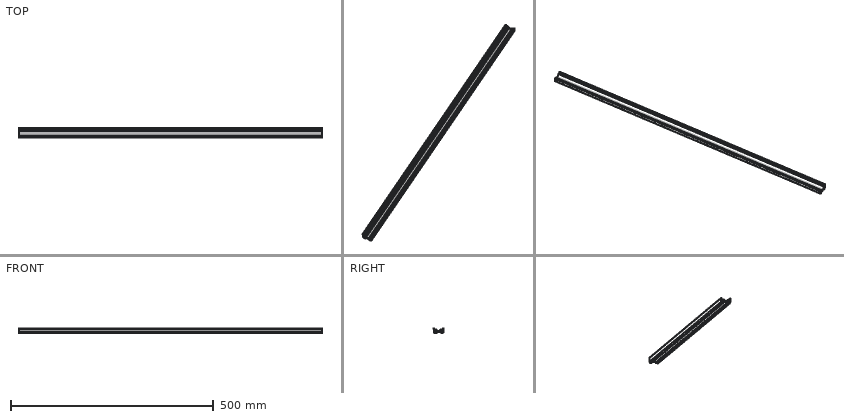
import cadquery as cq
import math

length = 750.0
width = 25.3
height = 13.3
half_width = width / 2

tip_angle = 15.0
front_tip_width = 2.1
rear_tip_width = 1.4
lip_overhang = 0.45
lip_bottom = 11.8
front_bevel_angle = 60.0
front_bevel_height = 4.3
rear_bevel_size = 3.0

trough_angle = 40.0
trough_y = -0.2
trough_apex = 4.75
trough_radius = 1.8
ledge_height = 10.45
leaf_thickness = 1.2

web_bottom = 3.3
front_foot_inner = 4.8
rear_foot_inner = 7.1

channel_inner = 4.1
channel_floor = 4.4
channel_flat_end = 7.4
channel_wall_start = 6.4

chamber_wall = 1.5
chamber_roof = 1.4
chamber_inner = 6.7
chamber_floor = 2.3
chamber_bevel_end = 9.8
chamber_bevel_top = 4.5


def slope(angle):
    return math.tan(math.radians(angle))


tip_slope = slope(tip_angle)
trough_slope = slope(trough_angle)
front_bevel_run = front_bevel_height / slope(front_bevel_angle)
front_wall = half_width - lip_overhang
front_tip = half_width - front_tip_width
rear_tip = half_width - rear_tip_width
trough_half_width = (ledge_height - trough_apex) / trough_slope


def section_outline():
    """Outer boundary of the section as (y, z) points."""
    leaf_drop = leaf_thickness / math.cos(math.radians(trough_angle))
    leaf_root_z = trough_apex + (channel_inner - trough_y) * trough_slope - leaf_drop
    channel_wall_y = rear_tip - (height - channel_wall_start) * tip_slope
    front_side = [
        (-front_foot_inner, web_bottom),
        (-front_foot_inner, 0),
        (-front_wall + front_bevel_run, 0),
        (-front_wall, front_bevel_height),
        (-front_wall, lip_bottom),
        (-half_width, lip_bottom),
        (-half_width, height - front_tip_width * tip_slope),
        (-front_tip, height),
        (-front_tip, ledge_height),
    ]
    trough = [
        (trough_y - trough_half_width, ledge_height),
        (trough_y, trough_apex),
        (trough_y + trough_half_width, ledge_height),
    ]
    rear_side = [
        (channel_inner, leaf_root_z),
        (channel_inner, channel_floor),
        (channel_flat_end, channel_floor),
        (channel_wall_y, channel_wall_start),
        (rear_tip, height),
        (half_width, height - rear_tip_width * tip_slope),
        (half_width, rear_bevel_size),
        (half_width - rear_bevel_size, 0),
        (rear_foot_inner, 0),
        (rear_foot_inner, web_bottom),
    ]
    return front_side + trough + rear_side


def chamber_outline():
    """Boundary of the closed chamber as (y, z) points."""
    outer = front_wall - chamber_wall
    roof = ledge_height - chamber_roof
    return [
        (-outer, roof),
        (-chamber_inner, roof),
        (-chamber_inner, chamber_floor),
        (-chamber_bevel_end, chamber_floor),
        (-outer, chamber_bevel_top),
    ]


def extrude_along_x(points):
    return cq.Workplane("YZ").polyline(points).close().extrude(length / 2, both=True)


def round_trough(rail):
    """Round the bottom of the trough."""
    apex = cq.selectors.NearestToPointSelector((0, trough_y, trough_apex))
    return rail.edges("|X").edges(apex).fillet(trough_radius)


rail = extrude_along_x(section_outline()).cut(extrude_along_x(chamber_outline()))
result = round_trough(rail)